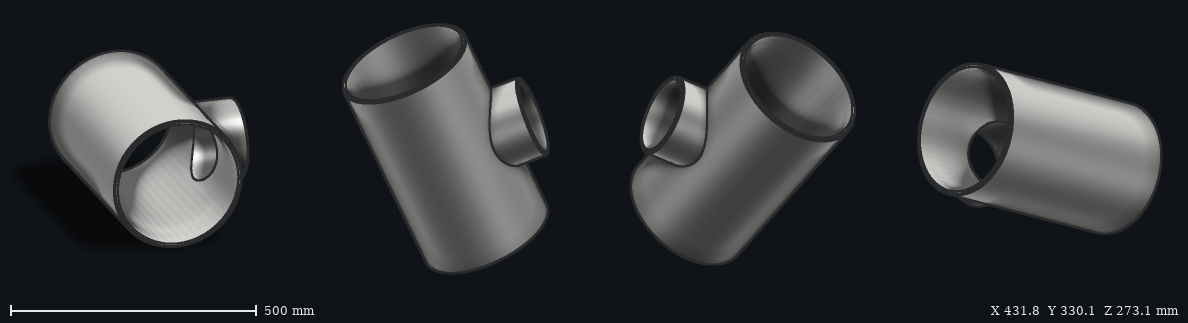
import cadquery as cq

WALL = 7.8
RUN_OUTER_DIAMETER = 273.05
RUN_LENGTH = 431.8
BRANCH_OUTER_DIAMETER = 168.3
BRANCH_REACH = 193.55
BEVEL = WALL / 3


def run_cylinder():
    """Solid run along X, centred on the origin, bevelled at both ends."""
    radius = RUN_OUTER_DIAMETER / 2
    half_length = RUN_LENGTH / 2
    half_section = (
        cq.Workplane("XY")
        .moveTo(-half_length, 0)
        .lineTo(-half_length, radius - BEVEL)
        .lineTo(-half_length + BEVEL, radius)
        .lineTo(half_length - BEVEL, radius)
        .lineTo(half_length, radius - BEVEL)
        .lineTo(half_length, 0)
        .close()
    )
    return half_section.revolve(360, (0, 0, 0), (1, 0, 0))


def branch_cylinder():
    """Solid branch from the run axis toward +Y, bevelled at its open end."""
    radius = BRANCH_OUTER_DIAMETER / 2
    half_section = (
        cq.Workplane("XY")
        .lineTo(radius, 0)
        .lineTo(radius, BRANCH_REACH - BEVEL)
        .lineTo(radius - BEVEL, BRANCH_REACH)
        .lineTo(0, BRANCH_REACH)
        .close()
    )
    return half_section.revolve(360, (0, 0, 0), (0, 1, 0))


def run_bore():
    """Bore through the whole run."""
    radius = RUN_OUTER_DIAMETER / 2 - WALL
    return cq.Workplane("YZ").circle(radius).extrude(RUN_LENGTH / 2, both=True)


def branch_bore():
    """Bore from the branch end face into the run bore."""
    radius = BRANCH_OUTER_DIAMETER / 2 - WALL
    return cq.Workplane("XZ").circle(radius).extrude(-BRANCH_REACH)


result = run_cylinder().union(branch_cylinder()).cut(run_bore()).cut(branch_bore())